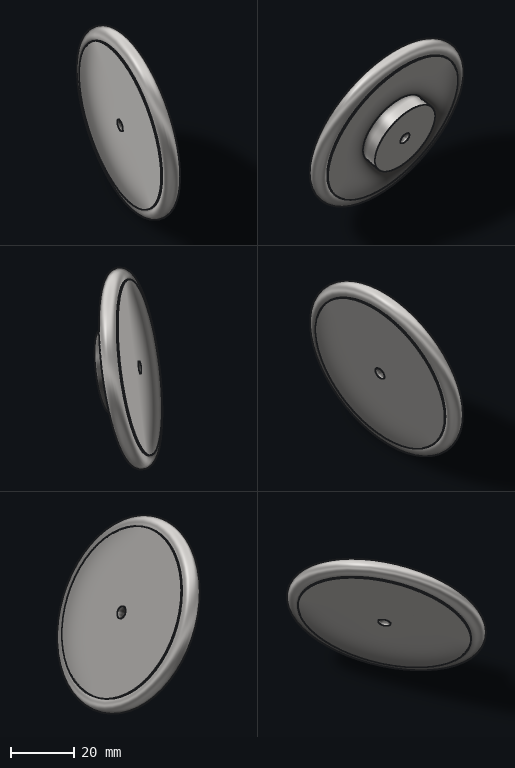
import cadquery as cq

outer_diameter = 64.3
total_width = 11.5

disc_diameter = 56.0
disc_width = 6.0
hub_diameter = 26.0
bore_diameter = 4.0

tyre_thickness = 5.65
tyre_section_radius = tyre_thickness / 2
tyre_centre_radius = outer_diameter / 2 - tyre_section_radius
tyre_centre_y = disc_width / 2


def cylinder(diameter, length):
    """Cylinder along +Y, starting at the front face of the disc."""
    return cq.Workplane("XZ").circle(diameter / 2).extrude(-length)


def make_tyre():
    """Ring of round section, centred across the width of the disc."""
    return (
        cq.Workplane("XY")
        .center(tyre_centre_radius, tyre_centre_y)
        .circle(tyre_section_radius)
        .revolve(360, (-tyre_centre_radius, 0), (-tyre_centre_radius, 1))
    )


def make_wheel(tyre):
    """Disc and hub with a through bore and a rim groove that fits the tyre."""
    disc = cylinder(disc_diameter, disc_width)
    hub = cylinder(hub_diameter, total_width)
    bore = cylinder(bore_diameter, total_width)
    return disc.union(hub).cut(bore).cut(tyre)


tyre = make_tyre()
wheel = make_wheel(tyre)

result = cq.Compound.makeCompound([wheel.val(), tyre.val()])